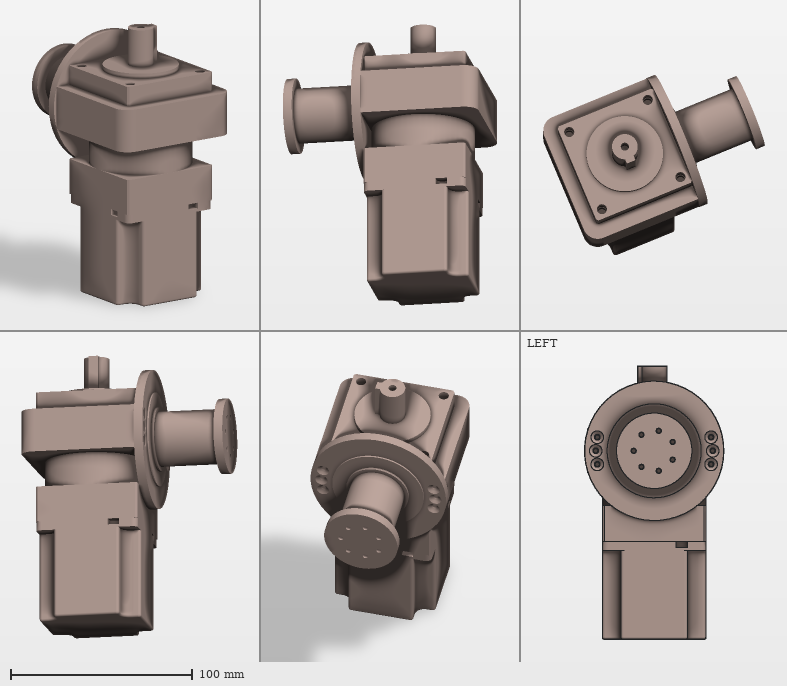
import cadquery as cq
import math


frame_width = 57.2
frame_half = frame_width / 2

motor_flange_bottom = 49.0
motor_top = 54.0
input_block_top = 74.0
cylinder_top = 92.1
output_block_top = 127.3
boss_top = 130.0
shaft_top = 151.0

flange_corner_radius = 3.2
corner_notch_size = 10.3
notch_inner_radius = 5.5
notch_rim_radius = 1.7
base_edge_radius = 1.2
pocket_radius = 3.2
pocket_height = 3.3
pocket_offset = 15.3

block_corner_chamfer = 1.0
boss_radius = 21.1
shaft_radius = 7.1
shaft_hole_radius = 2.3
shaft_hole_depth = 9.0
drill_tip_depth = 1.4
key_width = 5.1
key_length = 20.0
key_reach = 9.2
mount_hole_pitch = 47.0
mount_hole_radius = 2.34
mount_hole_depth = 12.1
mount_counterbore_radius = 2.8
mount_counterbore_depth = 7.5

bracket_back = 36.2
bracket_width = 73.4
bracket_corner_radius = 8.2
bracket_height = 24.2
tapped_hole_radius = 1.2
tapped_hole_depth = 10.0

side_axis_height = cylinder_top + bracket_height / 2
disc_radius = 38.5
disc_thickness = 5.0
outer_step_radius = 26.0
outer_step_thickness = 0.9
inner_step_radius = 17.7
inner_step_thickness = 1.4
tube_radius = 15.3
end_flange_radius = 20.8
end_flange_thickness = 5.0
end_flange_face = -75.0

disc_back = -frame_half
disc_face = disc_back - disc_thickness
outer_step_face = disc_face - outer_step_thickness
inner_step_face = outer_step_face - inner_step_thickness
tube_end = end_flange_face + end_flange_thickness
tube_length = inner_step_face - tube_end

screw_circle_radius = 32.3
screw_angle_step = 13.4
screw_hole_radius = 1.59
countersink_radius = 3.5
countersink_angle = 90

end_hole_count = 7
end_hole_circle_radius = 11.3
end_hole_radius = 1.43
tube_hole_radius = 1.2
tube_hole_depth = 10.0


def square_prism(bottom, top):
    """Square block on the drive axis between two levels."""
    base = cq.Workplane("XY").workplane(offset=bottom)
    return base.rect(frame_width, frame_width).extrude(top - bottom)


def upright_cylinder(radius, bottom, top):
    """Cylinder on the drive axis between two levels."""
    return cq.Workplane("XY").workplane(offset=bottom).circle(radius).extrude(top - bottom)


def side_plane(x):
    """Plane at x facing -X, centred on the horizontal axis; its local x runs along -Y."""
    return cq.Workplane(cq.Plane((x, 0, side_axis_height), xDir=(0, -1, 0), normal=(-1, 0, 0)))


def corner_notch():
    """Vertical cutter for one motor corner, with a rounded inner corner and rounded rims."""
    inner = frame_half - corner_notch_size
    return (
        cq.Workplane("XY")
        .moveTo(inner - notch_rim_radius, frame_half)
        .radiusArc((inner, frame_half - notch_rim_radius), notch_rim_radius)
        .lineTo(inner, inner + notch_inner_radius)
        .radiusArc((inner + notch_inner_radius, inner), -notch_inner_radius)
        .lineTo(frame_half - notch_rim_radius, inner)
        .radiusArc((frame_half, inner - notch_rim_radius), notch_rim_radius)
        .lineTo(frame_half, frame_half)
        .close()
        .extrude(motor_flange_bottom)
    )


def flange_pocket():
    """Cutter for one round-ended pocket in the top of the motor flange, open to the -Y side."""
    return (
        cq.Workplane("XY")
        .workplane(offset=motor_top - pocket_height)
        .center(pocket_offset, -frame_half)
        .moveTo(-pocket_radius, 0)
        .lineTo(-pocket_radius, pocket_radius)
        .threePointArc((0, 2 * pocket_radius), (pocket_radius, pocket_radius))
        .lineTo(pocket_radius, 0)
        .close()
        .extrude(pocket_height)
    )


def make_motor():
    body = square_prism(0, motor_flange_bottom)
    flange = square_prism(motor_flange_bottom, motor_top).edges("|Z").fillet(flange_corner_radius)
    for quarter in range(4):
        turn = 90 * quarter
        body = body.cut(corner_notch().rotate((0, 0, 0), (0, 0, 1), turn))
        flange = flange.cut(flange_pocket().rotate((0, 0, 0), (0, 0, 1), turn))
    body = body.faces("<Z").edges().fillet(base_edge_radius)
    return body.union(flange)


def make_output_shaft():
    key = (
        cq.Workplane("XY")
        .workplane(offset=shaft_top - key_length)
        .center(0, key_reach / 2)
        .rect(key_width, key_reach)
        .extrude(key_length)
    )
    shaft = upright_cylinder(shaft_radius, boss_top, shaft_top).union(key)
    hole = (
        cq.Workplane("XZ")
        .moveTo(0, shaft_top)
        .lineTo(shaft_hole_radius, shaft_top)
        .lineTo(shaft_hole_radius, shaft_top - shaft_hole_depth)
        .lineTo(0, shaft_top - shaft_hole_depth - drill_tip_depth)
        .close()
        .revolve(360, (0, 0), (0, 1))
    )
    return shaft.cut(hole)


def make_gearbox():
    input_block = square_prism(motor_top, input_block_top).edges("|Z").chamfer(block_corner_chamfer)
    cylinder = upright_cylinder(frame_half, input_block_top, cylinder_top)
    output_block = (
        square_prism(cylinder_top, output_block_top)
        .edges("|Z")
        .chamfer(block_corner_chamfer)
        .faces(">Z")
        .workplane()
        .rect(mount_hole_pitch, mount_hole_pitch, forConstruction=True)
        .vertices()
        .cboreHole(
            2 * mount_hole_radius, 2 * mount_counterbore_radius, mount_counterbore_depth, mount_hole_depth
        )
    )
    boss = upright_cylinder(boss_radius, output_block_top, boss_top)
    return input_block.union(cylinder).union(output_block).union(boss).union(make_output_shaft())


def disc_screw_points():
    """Three screws on each side of the disc, on one circle."""
    points = []
    for side in (1, -1):
        for step in (-1, 0, 1):
            angle = math.radians(step * screw_angle_step)
            across = side * screw_circle_radius * math.cos(angle)
            up = screw_circle_radius * math.sin(angle)
            points.append((across, up))
    return points


def make_bracket():
    bracket_depth = bracket_back + frame_half
    block = (
        cq.Workplane("XY")
        .workplane(offset=cylinder_top)
        .center(bracket_back - bracket_depth / 2, 0)
        .rect(bracket_depth, bracket_width)
        .extrude(bracket_height)
        .edges("|Z and >X")
        .fillet(bracket_corner_radius)
    )
    slot = square_prism(cylinder_top, cylinder_top + bracket_height)
    slot = slot.edges("|Z and >X").chamfer(block_corner_chamfer)
    tapped_holes = side_plane(disc_back).pushPoints(disc_screw_points()).circle(tapped_hole_radius)
    return block.cut(slot).cut(tapped_holes.extrude(-tapped_hole_depth))


def make_disc():
    plate = side_plane(disc_back).circle(disc_radius).extrude(disc_thickness)
    outer_step = side_plane(disc_face).circle(outer_step_radius).extrude(outer_step_thickness)
    inner_step = side_plane(outer_step_face).circle(inner_step_radius).extrude(inner_step_thickness)
    plate = (
        plate.faces("<X")
        .workplane(origin=(disc_face, 0, side_axis_height))
        .pushPoints(disc_screw_points())
        .cskHole(2 * screw_hole_radius, 2 * countersink_radius, countersink_angle)
    )
    return plate.union(outer_step).union(inner_step)


def end_hole_points():
    """Evenly spaced screws on one circle, the first toward +Y."""
    points = []
    for index in range(end_hole_count):
        angle = math.pi + index * 2 * math.pi / end_hole_count
        across = end_hole_circle_radius * math.cos(angle)
        up = end_hole_circle_radius * math.sin(angle)
        points.append((across, up))
    return points


def make_tube():
    tube = side_plane(inner_step_face).circle(tube_radius).extrude(tube_length)
    tapped_holes = side_plane(tube_end).pushPoints(end_hole_points()).circle(tube_hole_radius)
    return tube.cut(tapped_holes.extrude(-tube_hole_depth))


def make_end_flange():
    flange = side_plane(tube_end).circle(end_flange_radius).extrude(end_flange_thickness)
    holes = side_plane(tube_end).pushPoints(end_hole_points()).circle(end_hole_radius)
    return flange.cut(holes.extrude(end_flange_thickness))


motor = make_motor()
gearbox = make_gearbox()
bracket = make_bracket()
disc = make_disc()
tube = make_tube()
end_flange = make_end_flange()

result = cq.Compound.makeCompound(
    [motor.val(), gearbox.val(), bracket.val(), disc.val(), tube.val(), end_flange.val()]
)